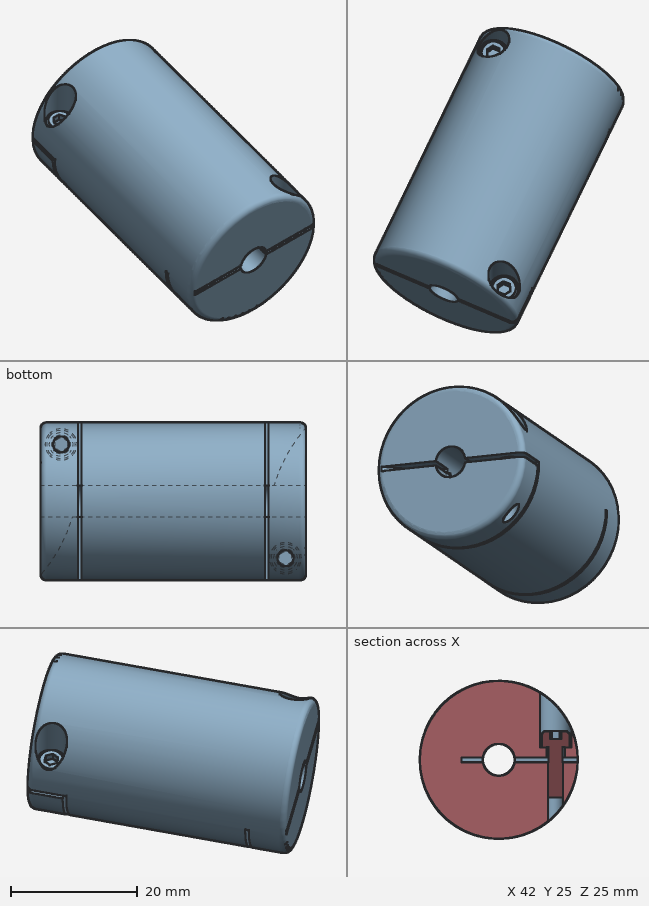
import cadquery as cq
import math

LENGTH = 42.0
OUTER_DIAMETER = 25.0
BORE_DIAMETER = 5.0
END_FILLET = 1.0

CLAMP_SLOT_HEIGHT = 0.7
CLAMP_SLOT_DEPTH = 6.5
HINGE_REACH = 11.7
HINGE_DEPTH_AT_BORE = 5.1
HINGE_ARC_RADIUS = 25.0
RELIEF_SLIT_WIDTH = 0.6
RELIEF_SLIT_TOP = -0.05

SCREW_FROM_END = 3.28
SCREW_OFFSET = 9.0
SHANK_DIAMETER = 2.5
SHANK_LENGTH = 8.0
HEAD_DIAMETER = 4.5
HEAD_HEIGHT = 2.5
HEAD_CHAMFER = 0.38
HEX_ACROSS_FLATS = 1.97
HEX_DEPTH = 1.2
CLEARANCE_DIAMETER = 3.0
COUNTERBORE_DIAMETER = 5.0
SEAT_Z = 2.0

OUTER_RADIUS = OUTER_DIAMETER / 2
END_X = LENGTH / 2
SCREW_X = END_X - SCREW_FROM_END
BORE_RADIUS = BORE_DIAMETER / 2
HALF_TURN = 180
HEX_SIDES = 6
HEX_HALF_ANGLE = HALF_TURN / HEX_SIDES
SLOT_END_X = -END_X + CLAMP_SLOT_DEPTH


def x_cylinder(diameter, start_x, length):
    return cq.Workplane("YZ", origin=(start_x, 0, 0)).circle(diameter / 2).extrude(length)


def z_cylinder(diameter, start_z, end_z):
    """Upright cylinder on the axis of the left-hand screw."""
    plane = cq.Workplane("XY", origin=(-SCREW_X, -SCREW_OFFSET, start_z))
    return plane.circle(diameter / 2).extrude(end_z - start_z)


def box(x_range, y_range, z_range):
    sizes = [high - low for low, high in (x_range, y_range, z_range)]
    corner = (x_range[0], y_range[0], z_range[0])
    return cq.Workplane("XY").box(*sizes, centered=False).translate(corner)


def at_both_ends(shape):
    """The left-hand shape and its copy turned half a turn about Z."""
    return [shape.rotate((0, 0, 0), (0, 0, 1), angle) for angle in (0, HALF_TURN)]


def make_clamp_slot():
    """Flat slot that opens the bore, square on its open side and ending on an arc at the hinge."""
    hinge_at_bore_x = -END_X + HINGE_DEPTH_AT_BORE
    return (
        cq.Workplane("XY", origin=(0, 0, -CLAMP_SLOT_HEIGHT / 2))
        .moveTo(-END_X, -OUTER_RADIUS)
        .lineTo(SLOT_END_X, -OUTER_RADIUS)
        .lineTo(SLOT_END_X, 0)
        .lineTo(hinge_at_bore_x, 0)
        .lineTo(hinge_at_bore_x, BORE_RADIUS)
        .radiusArc((-END_X, HINGE_REACH), -HINGE_ARC_RADIUS)
        .close()
        .extrude(CLAMP_SLOT_HEIGHT)
    )


def make_relief_slit():
    """Upright slit that frees the lower jaw from the rest of the body."""
    return box(
        (SLOT_END_X - RELIEF_SLIT_WIDTH, SLOT_END_X),
        (-OUTER_RADIUS, OUTER_RADIUS),
        (-OUTER_RADIUS, RELIEF_SLIT_TOP),
    )


def make_screw_hole():
    """Counterbore and clearance hole above the slot, threaded hole through the lower jaw."""
    counterbore = z_cylinder(COUNTERBORE_DIAMETER, SEAT_Z, OUTER_RADIUS)
    clearance = z_cylinder(CLEARANCE_DIAMETER, 0, SEAT_Z)
    thread = z_cylinder(SHANK_DIAMETER, -OUTER_RADIUS, 0)
    return counterbore.union(clearance).union(thread)


def make_coupling():
    """Bored bar with rounded ends and a clamp cut into each end."""
    bar = x_cylinder(OUTER_DIAMETER, -END_X, LENGTH).faces("<X or >X").edges().fillet(END_FILLET)
    coupling = bar.cut(x_cylinder(BORE_DIAMETER, -END_X, LENGTH))
    for left_cut in (make_clamp_slot(), make_relief_slit(), make_screw_hole()):
        for cut in at_both_ends(left_cut):
            coupling = coupling.cut(cut)
    return coupling


def make_screw():
    """Socket head cap screw, seated under its head."""
    head_top = SEAT_Z + HEAD_HEIGHT
    head = z_cylinder(HEAD_DIAMETER, SEAT_Z, head_top)
    head = head.faces(">Z").chamfer(HEAD_CHAMFER)
    shank = z_cylinder(SHANK_DIAMETER, SEAT_Z - SHANK_LENGTH, SEAT_Z)
    hex_across_corners = HEX_ACROSS_FLATS / math.cos(math.radians(HEX_HALF_ANGLE))
    socket = (
        cq.Workplane("XY", origin=(0, 0, head_top))
        .transformed(rotate=(0, 0, HEX_HALF_ANGLE))
        .polygon(HEX_SIDES, hex_across_corners)
        .extrude(-HEX_DEPTH)
        .translate((-SCREW_X, -SCREW_OFFSET, 0))
    )
    return head.union(shank).cut(socket)


coupling = make_coupling()
screws = at_both_ends(make_screw())

result = cq.Compound.makeCompound([coupling.val(), *[screw.val() for screw in screws]])